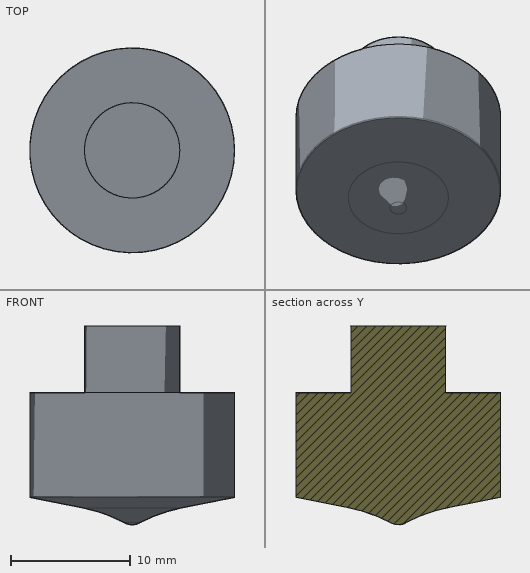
import cadquery as cq
import math

total_height = 16.7
body_diameter = 17.2
pin_diameter = 8.0
pin_length = 5.6
cone_slope = math.radians(11.2)
rim_height = 2.3
rim_fillet = 0.1
blend_outer_radius = 4.2
tip_edge_radius = 0.7
tip_edge_height = 0.2

body_radius = body_diameter / 2
pin_radius = pin_diameter / 2
shoulder_height = total_height - pin_length
blend_outer_height = rim_height - (body_radius - blend_outer_radius) * math.tan(cone_slope)


def circle_point(center, radius, angle):
    """Point on a circle, with the angle measured from straight down towards +X."""
    return (center[0] + radius * math.sin(angle), center[1] - radius * math.cos(angle))


def make_turned_part():
    """Revolve the half section: pin, body, filleted rim, cone, concave blend and rounded tip."""
    fillet_setback = rim_fillet * math.tan((math.pi / 2 - cone_slope) / 2)
    fillet_center = (body_radius - rim_fillet, rim_height + fillet_setback)
    fillet_top = (body_radius, fillet_center[1])
    fillet_middle = circle_point(fillet_center, rim_fillet, (cone_slope + math.pi / 2) / 2)
    fillet_bottom = circle_point(fillet_center, rim_fillet, cone_slope)

    tip_radius = (tip_edge_radius**2 + tip_edge_height**2) / (2 * tip_edge_height)
    tip_angle = math.asin(tip_edge_radius / tip_radius)
    tip_middle = circle_point((0, tip_radius), tip_radius, tip_angle / 2)

    half_section = (
        cq.Workplane("XZ")
        .moveTo(0, total_height)
        .lineTo(pin_radius, total_height)
        .lineTo(pin_radius, shoulder_height)
        .lineTo(body_radius, shoulder_height)
        .lineTo(*fillet_top)
        .threePointArc(fillet_middle, fillet_bottom)
        .lineTo(blend_outer_radius, blend_outer_height)
        .tangentArcPoint((tip_edge_radius, tip_edge_height), relative=False)
        .threePointArc(tip_middle, (0, 0))
        .close()
    )
    return half_section.revolve(360, (0, 0), (0, 1))


result = make_turned_part()